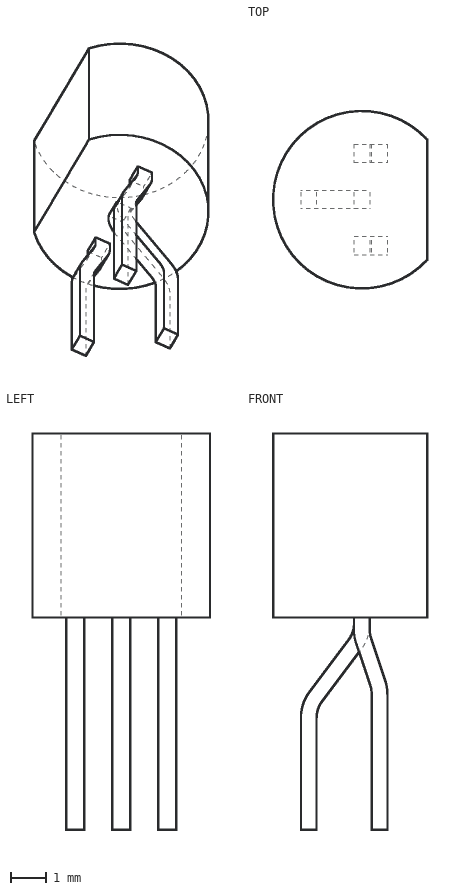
import cadquery as cq
import math

BODY_DIAMETER = 5.02
BODY_HEIGHT = 5.2
FLAT_OFFSET = 1.85

LEAD_THICKNESS = 0.45
LEAD_WIDTH = 0.51
LEAD_PITCH = 1.3
LEAD_LENGTH = 6.0
BEND_INNER_RADIUS = 0.75
UPPER_BEND_DEPTH = 0.5

MIDDLE_TIP_SHIFT = -1.5
MIDDLE_LOWER_BEND_DEPTH = 2.5
OUTER_TIP_SHIFT = 0.5
OUTER_LOWER_BEND_DEPTH = 2.0


def make_body():
    radius = BODY_DIAMETER / 2
    half_flat = math.sqrt(radius**2 - FLAT_OFFSET**2)
    return (
        cq.Workplane("XY")
        .moveTo(FLAT_OFFSET, -half_flat)
        .lineTo(FLAT_OFFSET, half_flat)
        .threePointArc((-radius, 0), (FLAT_OFFSET, -half_flat))
        .close()
        .extrude(BODY_HEIGHT)
    )


def make_lead(y, tip_shift, lower_bend_depth):
    """Lead that runs down, slants sideways by tip_shift, then runs down again."""
    bend_radius = BEND_INNER_RADIUS + LEAD_THICKNESS / 2
    slant_angle = math.atan2(tip_shift, lower_bend_depth - UPPER_BEND_DEPTH)
    setback = bend_radius * math.tan(abs(slant_angle) / 2)
    slant_dx = setback * math.sin(slant_angle)
    slant_dz = setback * math.cos(slant_angle)

    path = (
        cq.Workplane("XZ", origin=(0, y, 0))
        .lineTo(0, -UPPER_BEND_DEPTH + setback)
        .tangentArcPoint((slant_dx, -UPPER_BEND_DEPTH - slant_dz), relative=False)
        .lineTo(tip_shift - slant_dx, -lower_bend_depth + slant_dz)
        .tangentArcPoint((tip_shift, -lower_bend_depth - setback), relative=False)
        .lineTo(tip_shift, -LEAD_LENGTH)
    )
    return (
        cq.Workplane("XY", origin=(0, y, 0))
        .rect(LEAD_THICKNESS, LEAD_WIDTH)
        .sweep(path)
    )


result = make_body()
result = result.union(make_lead(0, MIDDLE_TIP_SHIFT, MIDDLE_LOWER_BEND_DEPTH))
for side in (-1, 1):
    result = result.union(make_lead(side * LEAD_PITCH, OUTER_TIP_SHIFT, OUTER_LOWER_BEND_DEPTH))